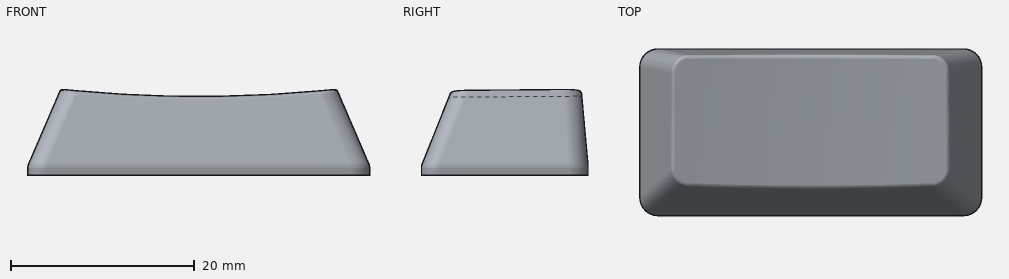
import cadquery as cq
import math

LENGTH = 37.2
WIDTH = 18.15
CORNER_RADIUS = 2.0

BAND_HEIGHT = 0.75
BLEND_HEIGHT = 0.52
BLEND_TOP = BAND_HEIGHT + BLEND_HEIGHT

SIDE_SLOPE = 0.43
FRONT_SLOPE = 0.4
BACK_SLOPE = 0.09

BLANK_HEIGHT = 10.42
BLANK_CORNER_RADIUS = 1.85

DISH_RADIUS = 141.4
DISH_BOTTOM_AT_BACK = 8.6
DISH_TILT_DEGREES = 0.5

TOP_EDGE_RADIUS = 0.4


def wall_inset(slope, z):
    """Inward distance of a wall from its foot: none in the band, curved in the blend, then straight."""
    blend_run = BLEND_HEIGHT * math.tan(math.atan(slope) / 2)
    if z <= BLEND_TOP:
        return blend_run * ((z - BAND_HEIGHT) / BLEND_HEIGHT) ** 2
    return blend_run + slope * (z - BLEND_TOP)


def outline(z, corner_radius):
    """Rounded rectangle that the walls pass through at height z."""
    x_half = LENGTH / 2 - wall_inset(SIDE_SLOPE, z)
    y_front = wall_inset(FRONT_SLOPE, z) - WIDTH / 2
    y_back = WIDTH / 2 - wall_inset(BACK_SLOPE, z)
    return (
        cq.Sketch()
        .push([(0, (y_front + y_back) / 2)])
        .rect(2 * x_half, y_back - y_front)
        .reset()
        .vertices()
        .fillet(corner_radius)
        .moved(cq.Location(cq.Vector(0, 0, z)))
    )


def bottom_band():
    footprint = cq.Sketch().rect(LENGTH, WIDTH).vertices().fillet(CORNER_RADIUS)
    return cq.Workplane("XY").placeSketch(footprint).extrude(BAND_HEIGHT)


def blend():
    """Smooth transition from the vertical band to the sloping walls."""
    heights = (BAND_HEIGHT, BAND_HEIGHT + BLEND_HEIGHT / 2, BLEND_TOP)
    sections = [outline(z, CORNER_RADIUS) for z in heights]
    return cq.Workplane("XY").placeSketch(*sections).loft()


def sloping_walls():
    bottom = outline(BLEND_TOP, CORNER_RADIUS)
    top = outline(BLANK_HEIGHT, BLANK_CORNER_RADIUS)
    return cq.Workplane("XY").placeSketch(bottom, top).loft(ruled=True)


def dish_cutter():
    """Cylinder that hollows the top; its lowest line passes through the back edge."""
    back = (0, WIDTH / 2, DISH_BOTTOM_AT_BACK)
    return (
        cq.Workplane("XZ", origin=(0, WIDTH, 0))
        .center(0, DISH_BOTTOM_AT_BACK + DISH_RADIUS)
        .circle(DISH_RADIUS)
        .extrude(2 * WIDTH)
        .rotate(back, (1, back[1], back[2]), DISH_TILT_DEGREES)
    )


blank = bottom_band().union(blend()).union(sloping_walls())
dished = blank.cut(dish_cutter())
result = dished.faces(">Z").edges().fillet(TOP_EDGE_RADIUS)